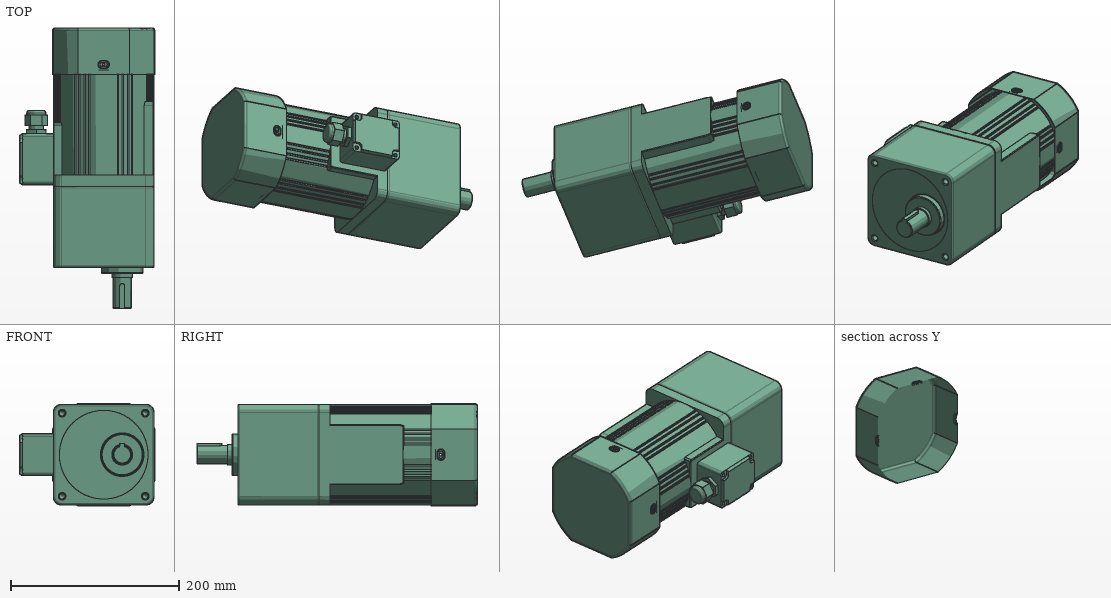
import cadquery as cq
import math


shaft_end_y = -48.8
boss_length = 7.0
collar_end_y = -12.0
gearbox_length = 96.5
flange_length = 13.5
cover_start_y = 229.8
cover_overlap = 5.0
cover_end_y = 285.2
flange_end_y = gearbox_length + flange_length
motor_body_end_y = cover_start_y + cover_overlap

frame_size = 120.0
frame_corner_radius = 10.0
gearbox_edge_radius = 2.0
face_recess_diameter = 105.5
face_recess_depth = 0.5
mount_offset = 49.5
mount_hole_diameter = 6.7
mount_hole_depth = 16.7
mount_countersink_diameter = 9.0
drill_point_angle = 118
boss_diameter = 49.8
boss_relief_diameter = 51.8
boss_relief_depth = 1.0
boss_chamfer = 1.0

shaft_x = 22.0
shaft_diameter = 22.0
shaft_chamfer = 1.0
collar_diameter = 24.7
key_width = 6.0
key_length = 29.7
key_top = 13.5
key_end_radius = 2.95

body_radius = frame_size / 2
side_groove_width = 2.0
top_groove_width = 1.7
groove_depth = 1.0
side_groove_offsets = [12.7, 18.7, 24.7, 29.7]
top_groove_offsets = [17.0, 22.7, 29.0, 33.7]
pad_rim_chamfer = 1.0
pad_corner_drop = 1.5
left_pad_half_height = 33.7
left_pad_end_y = 172.0
left_pad_corner_length = 2.7
right_pad_half_height = 35.7
right_pad_end_y = 197.5
right_pad_corner_length = 4.7
pad_depth = 20.0

cover_size = 121.5
cover_radius = 68.0
cover_wall = (cover_size - frame_size) / 2
cover_edge_radius = 3.5
cover_screw_y = 241.5
screw_pocket_length = 12.0
screw_pocket_width = 8.0
screw_pocket_depth = 1.0
screw_seat_length = 8.7
screw_seat_width = 4.7
screw_seat_depth = 1.7
screw_hole_diameter = 3.0
screw_hole_depth = 6.7

box_outer_x = -100.0
box_start_y = 98.5
box_length = 60.8
box_height = 50.0
box_edge_radius = 3.5
lid_thickness = 3.5
lid_chamfer = 2.0
corner_pocket_size = 10.5
corner_pocket_radius = 4.7
lid_screw_inset = 5.0
lid_screw_diameter = 4.5
lid_screw_depth = 6.7
box_end_y = box_start_y + box_length
box_mid_y = box_start_y + box_length / 2

gland_x = -80.0
gland_flats = 23.5
gland_base_length = 4.7
gland_neck_diameter = 17.7
gland_neck_length = 5.0
gland_nut_length = 12.5
gland_cap_diameter = 22.7
gland_cap_length = 5.7
gland_cap_radius = 3.0


def block(x_range, y_range, z_range):
    """Box between the given limits."""
    size = [high - low for low, high in (x_range, y_range, z_range)]
    corner = (x_range[0], y_range[0], z_range[0])
    return cq.Workplane().box(*size, centered=False).translate(corner)


def rod(x, z, diameter, start_y, end_y):
    """Cylinder along Y between two Y positions."""
    axis_start = cq.Vector(x, start_y, z)
    return cq.Workplane(cq.Solid.makeCylinder(diameter / 2, end_y - start_y, axis_start, cq.Vector(0, 1, 0)))


def frame_block(start_y, length):
    """Square block with rounded corners that the gearbox and the motor flange share."""
    half = frame_size / 2
    return block((-half, half), (start_y, start_y + length), (-half, half)).edges("|Y").fillet(frame_corner_radius)


def mount_hole(x, z):
    """Countersunk blind hole with a conical drill point, entering the gearbox face."""
    hole_radius = mount_hole_diameter / 2
    sink_radius = mount_countersink_diameter / 2
    point_length = hole_radius / math.tan(math.radians(drill_point_angle / 2))
    profile = [
        (0, 0),
        (sink_radius, 0),
        (hole_radius, sink_radius - hole_radius),
        (hole_radius, mount_hole_depth),
        (0, mount_hole_depth + point_length),
    ]
    return cq.Workplane().polyline(profile).close().revolve(360, (0, 0), (0, 1)).translate((x, 0, z))


def make_gearbox():
    """Gearbox housing with its output boss standing in a shallow relief groove."""
    gearbox = frame_block(0, gearbox_length).faces("<Y or >Y").edges().fillet(gearbox_edge_radius)
    gearbox = gearbox.cut(rod(0, 0, face_recess_diameter, 0, face_recess_depth))
    boss = rod(shaft_x, 0, boss_diameter, -boss_length, boss_relief_depth).faces("<Y").chamfer(boss_chamfer)
    relief = rod(shaft_x, 0, boss_relief_diameter, 0, boss_relief_depth)
    gearbox = gearbox.cut(relief).union(boss)
    for x in (-mount_offset, mount_offset):
        for z in (-mount_offset, mount_offset):
            gearbox = gearbox.cut(mount_hole(x, z))
    return gearbox


def make_shaft():
    """Output shaft with its collar and the key on its upper side."""
    shaft = rod(shaft_x, 0, shaft_diameter, shaft_end_y, collar_end_y).faces("<Y").chamfer(shaft_chamfer)
    collar = rod(shaft_x, 0, collar_diameter, collar_end_y, -boss_length)
    half_width = key_width / 2
    key = block(
        (shaft_x - half_width, shaft_x + half_width),
        (shaft_end_y, shaft_end_y + key_length),
        (0, key_top),
    )
    key = key.edges("|Z and >Y").fillet(key_end_radius)
    return shaft.union(collar).union(key)


def pad(half_height, end_y, corner_length):
    """Flat pad on the +X side of the motor body, its far corners cut off at a slant."""
    outline = [
        (flange_end_y, -half_height),
        (end_y - corner_length, -half_height),
        (end_y, pad_corner_drop - half_height),
        (end_y, half_height - pad_corner_drop),
        (end_y - corner_length, half_height),
        (flange_end_y, half_height),
    ]
    inner_face = cq.Workplane("YZ", origin=(body_radius - pad_depth, 0, 0))
    plate = inner_face.polyline(outline).close().extrude(pad_depth)
    return plate.faces(">X").edges("not <Y").chamfer(pad_rim_chamfer)


def make_motor():
    """Grooved round motor body with its square flange and the two side pads."""
    body = rod(0, 0, 2 * body_radius, flange_end_y, motor_body_end_y)
    body_span = (flange_end_y, motor_body_end_y)
    half_groove = side_groove_width / 2
    for offset in side_groove_offsets:
        floor = math.sqrt(body_radius**2 - offset**2) - groove_depth
        for z in (-offset, offset):
            for x_range in ((-body_radius, -floor), (floor, body_radius)):
                body = body.cut(block(x_range, body_span, (z - half_groove, z + half_groove)))
    half_groove = top_groove_width / 2
    for offset in top_groove_offsets:
        floor = math.sqrt(body_radius**2 - offset**2) - groove_depth
        for x in (-offset, offset):
            for z_range in ((-body_radius, -floor), (floor, body_radius)):
                body = body.cut(block((x - half_groove, x + half_groove), body_span, z_range))
    left_pad = pad(left_pad_half_height, left_pad_end_y, left_pad_corner_length).mirror("YZ")
    right_pad = pad(right_pad_half_height, right_pad_end_y, right_pad_corner_length)
    return body.union(frame_block(gearbox_length, flange_length)).union(left_pad).union(right_pad)


def top_slot(length, width, top_z, depth):
    """Oblong prism under the fan cover's top flat, reaching down from a height."""
    return cq.Workplane("XY", origin=(0, cover_screw_y, top_z)).slot2D(length, width).extrude(-depth)


def cover_prism(inset, end_y):
    """Square prism with large round corners, a constant inset inside the fan cover's outline."""
    half = cover_size / 2 - inset
    span = (cover_start_y, end_y)
    prism = block((-half, half), span, (-half, half)).intersect(rod(0, 0, 2 * (cover_radius - inset), *span))
    return prism.faces(">Y").edges().fillet(cover_edge_radius - inset)


def make_fan_cover():
    """Thin fan cover, open towards the motor, with a dished screw seat on the top and side flats."""
    top_z = cover_size / 2
    seat_wall = 2 * cover_wall
    dish = top_slot(
        screw_pocket_length + seat_wall,
        screw_pocket_width + seat_wall,
        top_z - cover_wall / 2,
        screw_seat_depth + cover_wall / 2,
    )
    recess = top_slot(screw_pocket_length, screw_pocket_width, top_z, screw_pocket_depth)
    recess = recess.union(top_slot(screw_seat_length, screw_seat_width, top_z, screw_seat_depth))
    hole_start = cq.Workplane("XY", origin=(0, cover_screw_y, top_z))
    recess = recess.union(hole_start.circle(screw_hole_diameter / 2).extrude(-screw_hole_depth))

    cover = cover_prism(0, cover_end_y).cut(cover_prism(cover_wall, cover_end_y - cover_wall))
    for angle in (-90, 0, 90):
        cover = cover.union(dish.rotate((0, 0, 0), (0, 1, 0), angle))
        cover = cover.cut(recess.rotate((0, 0, 0), (0, 1, 0), angle))
    return cover


def make_terminal_box():
    """Terminal box with a chamfered lid face and a recessed screw in each corner."""
    half_height = box_height / 2
    lid_joint_x = box_outer_x + lid_thickness
    box = block((lid_joint_x, -body_radius), (box_start_y, box_end_y), (-half_height, half_height))
    box = box.edges("|X").fillet(box_edge_radius)
    lid_taper = math.degrees(math.atan2(lid_chamfer, lid_thickness))
    lid = cq.Workplane("YZ").rect(box_length, box_height).extrude(-lid_thickness, taper=lid_taper)
    lid = lid.translate((lid_joint_x, box_mid_y, 0))
    box = box.union(lid)
    face = cq.Workplane("YZ", origin=(box_outer_x, box_mid_y, 0))
    pocket = face.rect(2 * corner_pocket_size, 2 * corner_pocket_size).extrude(lid_thickness)
    pocket = pocket.edges("|X").fillet(corner_pocket_radius)
    screw_hole = face.circle(lid_screw_diameter / 2).extrude(lid_thickness + lid_screw_depth)
    for side_y in (-1, 1):
        for side_z in (-1, 1):
            corner_y = side_y * box_length / 2
            corner_z = side_z * half_height
            box = box.cut(pocket.translate((0, corner_y, corner_z)))
            screw_y = corner_y - side_y * lid_screw_inset
            screw_z = corner_z - side_z * lid_screw_inset
            box = box.cut(screw_hole.translate((0, screw_y, screw_z)))
    return box


def hexagon(start_y, length, turn):
    """Hexagonal prism on the gland axis, turned by an angle about that axis."""
    corner_diameter = gland_flats / math.cos(math.pi / 6)
    prism = cq.Workplane("XZ").polygon(6, corner_diameter).extrude(-length)
    return prism.rotate((0, 0, 0), (0, 1, 0), turn).translate((gland_x, start_y, 0))


def make_gland():
    """Cable gland: hexagonal base, round neck, hexagonal nut and domed cap."""
    neck_y = box_end_y + gland_base_length
    nut_y = neck_y + gland_neck_length
    cap_y = nut_y + gland_nut_length
    cap = rod(gland_x, 0, gland_cap_diameter, cap_y, cap_y + gland_cap_length)
    cap = cap.faces(">Y").edges().fillet(gland_cap_radius)
    neck = rod(gland_x, 0, gland_neck_diameter, neck_y, nut_y)
    return hexagon(box_end_y, gland_base_length, 30).union(neck).union(hexagon(nut_y, gland_nut_length, 0)).union(cap)


gearbox = make_gearbox()
shaft = make_shaft()
motor = make_motor()
fan_cover = make_fan_cover()
terminal_box = make_terminal_box()
gland = make_gland()

bodies = [gearbox, shaft, motor, fan_cover, terminal_box, gland]
result = cq.Compound.makeCompound([body.solids().val() for body in bodies])